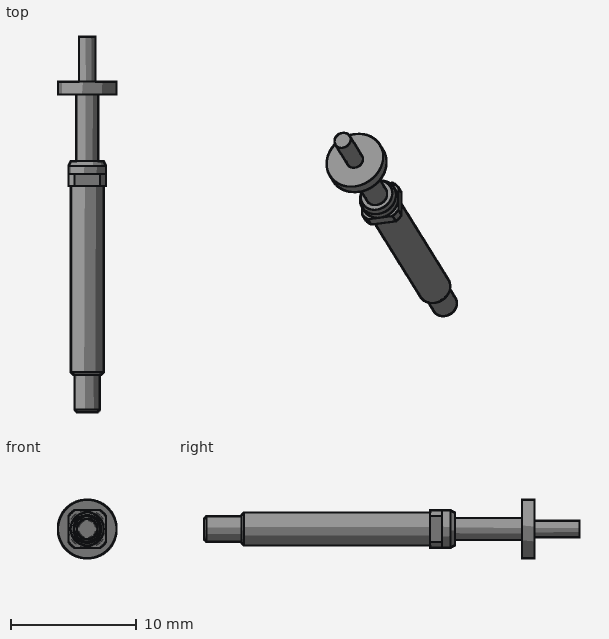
import cadquery as cq

total_length = 29.9

tip_diameter = 1.35
disc_diameter = 4.7
disc_start = 3.6
disc_end = 4.6
shaft_diameter = 1.75

collar_start = 9.9
collar_width = 3.0
collar_nose_diameter = 2.6
nose_length = 0.4
square_start = 10.95
square_end = 11.9
square_corner_diameter = 3.62

barrel_diameter = 2.63
barrel_end = 26.9
barrel_chamfer = 0.2
tail_diameter = 2.03
tail_chamfer = 0.2

tip_y = total_length / 2


def section_plane(station):
    """Plane across the pin at a station, with its normal toward the tail."""
    return cq.Workplane("XZ", origin=(0, tip_y - station, 0))


def rod(diameter, start, end):
    """Plain round length of the pin between two stations."""
    return section_plane(start).circle(diameter / 2).extrude(end - start)


def plunger():
    tip = rod(tip_diameter, 0, disc_end)
    disc = rod(disc_diameter, disc_start, disc_end)
    shaft = rod(shaft_diameter, disc_end, collar_start)
    return tip.union(disc).union(shaft)


def collar():
    nose_drop = (collar_width - collar_nose_diameter) / 2
    lead_in = (
        rod(collar_width, collar_start, square_start)
        .faces(">Y").chamfer(nose_length, nose_drop)
    )
    square = (
        section_plane(square_start)
        .rect(collar_width, collar_width)
        .extrude(square_end - square_start)
        .intersect(rod(square_corner_diameter, square_start, square_end))
    )
    return lead_in.union(square)


def barrel():
    return rod(barrel_diameter, square_end, barrel_end).faces("<Y").chamfer(barrel_chamfer)


def tail():
    return rod(tail_diameter, barrel_end, total_length).faces("<Y").chamfer(tail_chamfer)


result = plunger().union(collar()).union(barrel()).union(tail())